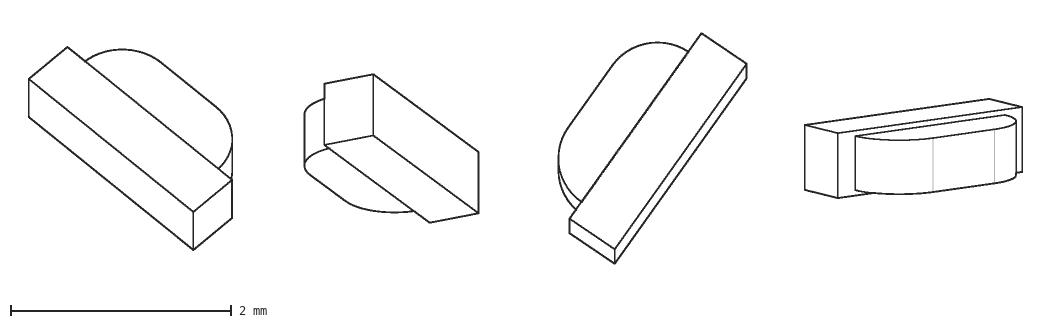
import cadquery as cq

base_length = 2.1
base_depth = 0.5
base_height = 0.6

lens_width = 1.7
lens_depth = 0.5
lens_height = 0.5


def make_base():
    """Block centred on X and Z, with its +Y face on the plane Y = 0."""
    return cq.Workplane("XY").box(base_length, base_depth, base_height).translate((0, -base_depth / 2, 0))


def make_lens():
    """Plate centred on Z whose two outer corners are rounded over its full depth."""
    half_width = lens_width / 2
    half_flat = half_width - lens_depth
    return (
        cq.Workplane("XY")
        .moveTo(-half_width, 0)
        .radiusArc((-half_flat, lens_depth), lens_depth)
        .lineTo(half_flat, lens_depth)
        .radiusArc((half_width, 0), lens_depth)
        .close()
        .extrude(lens_height / 2, both=True)
    )


result = make_base().union(make_lens())